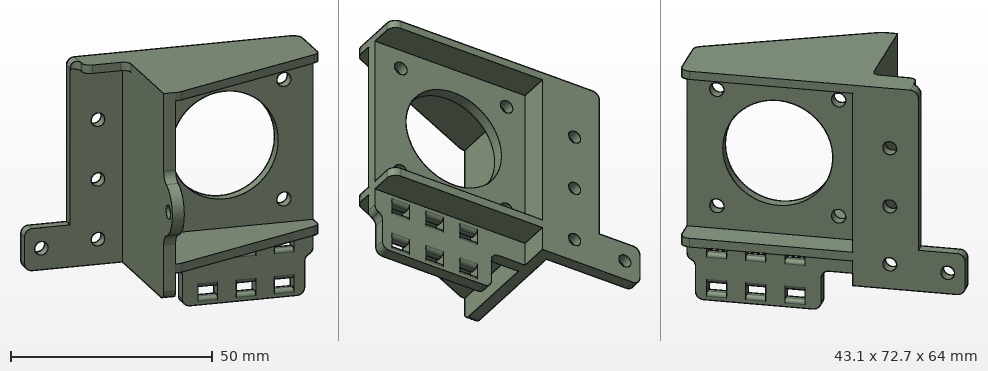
import cadquery as cq
import math

wall = 3.1
top_thickness = 2.2
shelf_thickness = 2.3
corner_radius = 2.0
screw_hole_diameter = 3.5

length = 72.65
height = 64.0

flange_end_y = 28.6
flange_front_y = 11.9
flange_bottom_z = 10.45
foot_top_z = 21.4

front_wall_y = flange_end_y - wall
front_wall_end_x = 36.2
lug_radius = 7.05
lug_center_z = 34.3
lug_tip_x = 43.1
lug_blend_radius = 3.0
lug_hole_x = 39.9

motor_plate_x = 8.05
motor_center_y = 49.55
motor_center_z = 40.9
motor_bore_diameter = 28.0
motor_bolt_spacing = 31.0
motor_bolt_diameter = 3.6

tab_front_y = 38.5
tab_back_y = 70.45

slot_width = 5.1
slot_height = 2.5
slot_lip_radius = 1.0
slot_pitch = 9.95
slot_columns = 3
last_slot_y = 65.1
slot_row_heights = (3.3, 13.7)

cover_back_width = 16.1
cover_slope_start_y = 29.6
cover_corner_radius = 2.5
cover_shoulder_radius = 4.0
cover_ear_y = 14.1
shelf_bottom_z = 17.1

flange_hole_y = 19.2
flange_hole_bottom_z = 17.0
flange_hole_pitch = motor_bolt_spacing / 2
foot_hole_y = 4.4
foot_hole_z = 16.05
flange_hole_count = 3


def plate_x(points, x_start):
    """Sheet parallel to YZ, from (y, z) outline points."""
    return cq.Workplane("YZ", origin=(x_start, 0, 0)).polyline(points).close().extrude(wall)


def plate_z(points, z_start, thickness):
    """Sheet parallel to XY, from (x, y) outline points."""
    return cq.Workplane("XY", origin=(0, 0, z_start)).polyline(points).close().extrude(thickness)


def round_edge(body, direction, point, radius):
    """Fillet the edge that runs along the given axis and is nearest to the point."""
    edge = body.edges("|" + direction).edges(cq.selectors.NearestToPointSelector(point))
    return body.newObject(edge.vals()).fillet(radius)


def holes_x(places, diameter):
    """Cylinders along X, long enough to pass through every sheet, at (y, z) places."""
    return cq.Workplane("YZ").pushPoints(places).circle(diameter / 2).extrude(lug_tip_x)


def make_flange():
    flange = plate_x(
        [
            (0, flange_bottom_z),
            (flange_end_y, flange_bottom_z),
            (flange_end_y, height),
            (flange_front_y, height),
            (flange_front_y, foot_top_z),
            (0, foot_top_z),
        ],
        0,
    )
    for y, z in [(0, flange_bottom_z), (0, foot_top_z), (flange_front_y, height)]:
        flange = round_edge(flange, "X", (wall / 2, y, z), corner_radius)
    places = [(flange_hole_y, flange_hole_bottom_z + i * flange_hole_pitch) for i in range(flange_hole_count)]
    places.append((foot_hole_y, foot_hole_z))
    return flange.cut(holes_x(places, screw_hole_diameter))


def make_front_wall():
    wall_height = height - flange_bottom_z
    body = cq.Workplane("XY").box(front_wall_end_x, wall, wall_height, centered=False)
    body = body.translate((0, front_wall_y, flange_bottom_z))
    body = round_edge(body, "Y", (front_wall_end_x, front_wall_y, flange_bottom_z), corner_radius)
    lug_center_x = lug_tip_x - lug_radius
    lug = cq.Workplane("XZ", origin=(lug_center_x, flange_end_y, lug_center_z))
    body = body.union(lug.circle(lug_radius).extrude(wall))
    junction_z = math.sqrt(lug_radius**2 - (front_wall_end_x - lug_center_x) ** 2)
    for side in (-1, 1):
        place = (front_wall_end_x, front_wall_y + wall / 2, lug_center_z + side * junction_z)
        body = round_edge(body, "Y", place, lug_blend_radius)
    hole = cq.Workplane("XZ", origin=(lug_hole_x, flange_end_y, lug_center_z))
    return body.cut(hole.circle(screw_hole_diameter / 2).extrude(wall))


def make_tie_slot():
    """Cutter for one window whose upper and lower lips are rounded on both faces."""
    half = slot_height / 2
    flare = half + slot_lip_radius
    lip = slot_lip_radius
    profile = (
        cq.Workplane("XZ")
        .moveTo(0, -flare)
        .radiusArc((lip, -half), lip)
        .lineTo(wall - lip, -half)
        .radiusArc((wall, -flare), lip)
        .lineTo(wall, flare)
        .radiusArc((wall - lip, half), lip)
        .lineTo(lip, half)
        .radiusArc((0, flare), lip)
        .close()
    )
    return profile.extrude(slot_width / 2, both=True)


def make_motor_plate():
    step = length - tab_back_y
    slant = math.sqrt((2 * corner_radius) ** 2 - (2 * corner_radius - step) ** 2) / 2
    step_middle = (length - step / 2, flange_bottom_z)
    plate = (
        cq.Workplane("YZ", origin=(motor_plate_x, 0, 0))
        .moveTo(front_wall_y, height)
        .lineTo(length, height)
        .lineTo(length, flange_bottom_z + slant)
        .radiusArc(step_middle, corner_radius)
        .radiusArc((tab_back_y, flange_bottom_z - slant), -corner_radius)
        .lineTo(tab_back_y, 0)
        .lineTo(tab_front_y, 0)
        .lineTo(tab_front_y, flange_bottom_z)
        .lineTo(front_wall_y, flange_bottom_z)
        .close()
        .extrude(wall)
    )
    for y, z in [(tab_back_y, 0), (tab_front_y, 0), (tab_front_y, flange_bottom_z)]:
        plate = round_edge(plate, "X", (motor_plate_x, y, z), corner_radius)
    half = motor_bolt_spacing / 2
    bolts = [(motor_center_y + i * half, motor_center_z + j * half) for i in (-1, 1) for j in (-1, 1)]
    plate = plate.cut(holes_x(bolts, motor_bolt_diameter))
    plate = plate.cut(holes_x([(motor_center_y, motor_center_z)], motor_bore_diameter))
    slot = make_tie_slot()
    for z in slot_row_heights:
        for column in range(slot_columns):
            plate = plate.cut(slot.translate((motor_plate_x, last_slot_y - column * slot_pitch, z)))
    return plate


def make_gusset(z_start, thickness):
    """Tapered sheet joining the front wall and the motor plate."""
    gusset = plate_z(
        [
            (0, front_wall_y),
            (front_wall_end_x, front_wall_y),
            (front_wall_end_x, cover_slope_start_y),
            (cover_back_width, length),
            (0, length),
        ],
        z_start,
        thickness,
    )
    middle = z_start + thickness / 2
    gusset = round_edge(gusset, "Z", (0, length, middle), cover_corner_radius)
    gusset = round_edge(gusset, "Z", (cover_back_width, length, middle), cover_corner_radius)
    return round_edge(gusset, "Z", (front_wall_end_x, cover_slope_start_y, middle), cover_shoulder_radius)


def make_cover_ear():
    """Extension of the top cover along the flange, blended into the front wall and the flange."""
    ear_x = motor_plate_x
    inner_x = ear_x + 2 * corner_radius
    bottom = height - top_thickness
    ear = plate_z(
        [
            (0, flange_front_y),
            (wall, flange_front_y),
            (wall, cover_ear_y),
            (ear_x, cover_ear_y),
            (ear_x, front_wall_y),
            (inner_x, front_wall_y),
            (inner_x, flange_end_y),
            (0, flange_end_y),
        ],
        bottom,
        top_thickness,
    )
    for x, y in [(wall, cover_ear_y), (ear_x, cover_ear_y), (ear_x, front_wall_y)]:
        ear = round_edge(ear, "Z", (x, y, bottom), corner_radius)
    return round_edge(ear, "X", (0, flange_front_y, height), corner_radius)


result = (
    make_flange()
    .union(make_front_wall())
    .union(make_motor_plate())
    .union(make_gusset(height - top_thickness, top_thickness))
    .union(make_gusset(shelf_bottom_z, shelf_thickness))
    .union(make_cover_ear())
)